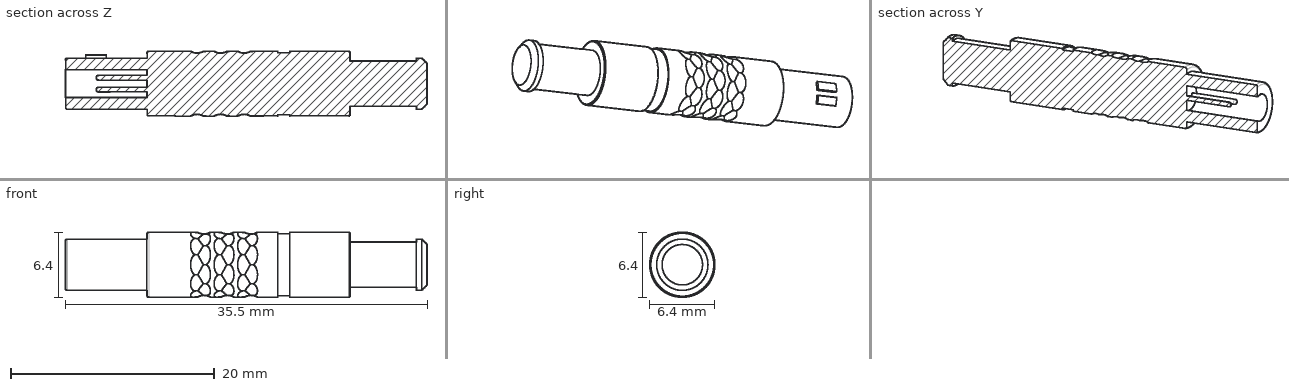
import cadquery as cq
import math

length = 35.5

nose_end = 8.0
groove_start = 20.85
groove_end = 22.0
sleeve_end = 27.95
flange_start = 34.45

sleeve_radius = 3.2
nose_radius = 2.52
groove_depth = 0.15
tail_radius = 2.25
flange_radius = nose_radius

nose_fillet = 0.18
sleeve_fillet = 0.2
sleeve_chamfer = 0.1
flange_chamfer = 0.55

bore_radius = 1.35
bore_depth = nose_end
pin_radius = 0.25
pin_spacing = 1.17
pin_length = 4.97

key_start = 2.0
key_end = 4.0
key_radius = 2.85
key_inner_angle = 6.0
key_outer_angle = 23.5

band_count = 3
band_pitch = 2.3
first_ring = 12.92
ring_spacing = 0.67
dimples_per_ring = 10
dimple_depth = 0.18
dimple_width = 1.28


def cylinder_along_x(start, end, radius, start_fillet=0.0, end_chamfer=0.0):
    """Cylinder along X between two stations, optionally rounded at its start and chamfered at its end."""
    body = cq.Workplane("YZ").workplane(offset=start).circle(radius).extrude(end - start)
    if start_fillet:
        body = body.faces("<X").edges().fillet(start_fillet)
    if end_chamfer:
        body = body.faces(">X").chamfer(end_chamfer)
    return body


def outer_body():
    """Nose, grip sleeve with its groove, tail and end flange."""
    nose = cylinder_along_x(0, nose_end, nose_radius, start_fillet=nose_fillet)
    front_sleeve = cylinder_along_x(
        nose_end, groove_start, sleeve_radius, start_fillet=sleeve_fillet
    )
    groove_floor = cylinder_along_x(groove_start, groove_end, sleeve_radius - groove_depth)
    back_sleeve = cylinder_along_x(
        groove_end, sleeve_end, sleeve_radius, end_chamfer=sleeve_chamfer
    )
    tail = cylinder_along_x(sleeve_end, flange_start, tail_radius)
    flange = cylinder_along_x(flange_start, length, flange_radius, end_chamfer=flange_chamfer)
    return nose.union(front_sleeve).union(groove_floor).union(back_sleeve).union(tail).union(flange)


def key(side):
    """Ring-sector key on the nose, above (side = 1) or below (side = -1) the XY plane."""
    root_radius = nose_radius - nose_fillet

    def point(radius, angle):
        turn = math.radians(angle)
        return (radius * math.cos(turn), side * radius * math.sin(turn))

    middle_angle = (key_inner_angle + key_outer_angle) / 2
    return (
        cq.Workplane("YZ")
        .workplane(offset=key_start)
        .moveTo(*point(root_radius, key_inner_angle))
        .lineTo(*point(key_radius, key_inner_angle))
        .threePointArc(point(key_radius, middle_angle), point(key_radius, key_outer_angle))
        .lineTo(*point(root_radius, key_outer_angle))
        .close()
        .extrude(key_end - key_start)
    )


def pins():
    """Two contact pins with hemispherical tips standing on the cavity floor."""
    tip_center = bore_depth - pin_length + pin_radius
    shank = cylinder_along_x(tip_center, bore_depth, pin_radius)
    pin = shank.union(cq.Workplane("XY").sphere(pin_radius).translate((tip_center, 0, 0)))
    return pin.translate((0, pin_spacing / 2, 0)).union(pin.translate((0, -pin_spacing / 2, 0)))


def dimple_cutters():
    """Cylinders lying tangent to the sleeve, one for each grip dimple."""
    half_width = dimple_width / 2
    cutter_radius = (half_width**2 + dimple_depth**2) / (2 * dimple_depth)
    cutter_height = sleeve_radius - dimple_depth + cutter_radius
    cutter_length = sleeve_radius
    step = 360 / dimples_per_ring

    cutters = []
    for band in range(band_count):
        for ring in range(2):
            station = first_ring + band * band_pitch + ring * ring_spacing
            cutter = cq.Solid.makeCylinder(
                cutter_radius,
                cutter_length,
                cq.Vector(station, -cutter_length / 2, cutter_height),
                cq.Vector(0, 1, 0),
            )
            first_angle = step / 2 if ring == 0 else 0
            for index in range(dimples_per_ring):
                angle = first_angle + index * step
                cutters.append(cutter.rotate(cq.Vector(0, 0, 0), cq.Vector(1, 0, 0), angle))
    return cutters


body = outer_body().union(key(1)).union(key(-1))
body = body.cut(cylinder_along_x(0, bore_depth, bore_radius)).union(pins())
result = cq.Workplane("XY").newObject([body.val().cut(*dimple_cutters())])